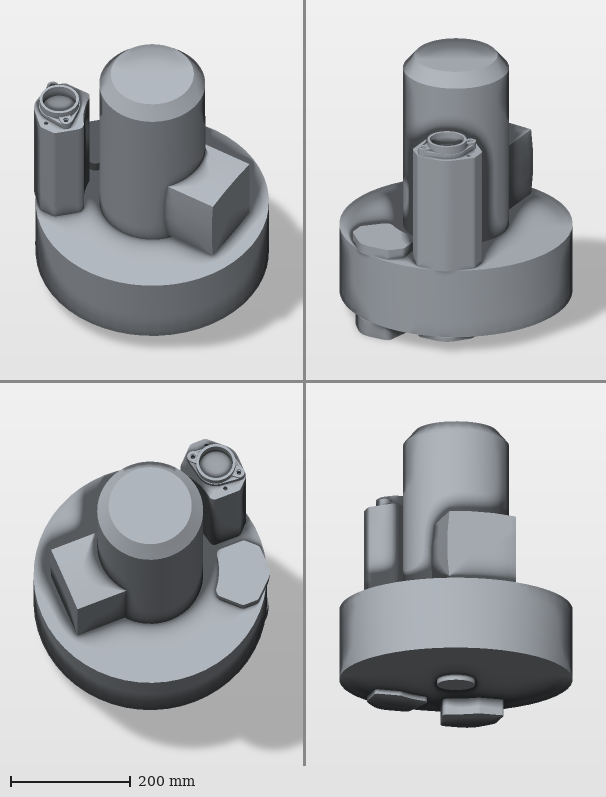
import cadquery as cq
import math


drum_radius = 195.0
drum_height = 121.5
motor_radius = 88.5
motor_top_radius = 69.5
motor_top = 429.0
motor_taper_height = 22.5
hub_radius = 31.5
hub_depth = 9.0

box_end_x = 155.2
box_half_width = 58.0
box_bottom = 128.8
box_top = 245.5
box_side_bulge = 4.0
box_cap_bulge = 3.0

port_left_x = -186.0
port_inner_y = 8.0
port_outer_y = 116.5
port_chamfer = 20.0
port_outer_left_x = -147.5
port_outer_right_x = -120.0
port_shoulder_y = 80.0
port_shoulder_fillet = 34.2
port_tip_angle = 43.7
concave_radius = 115.0
corner_fillet = 9.0
tip_fillet = 13.0
column_top = 323.5
cover_height = 17.0

foot_left_x = -184.5
foot_right_x = -93.0
foot_inner_left_y = 28.0
foot_heel_angle = 5.9
foot_outer_y = 112.5
foot_outer_left_x = -146.0
foot_shoulder_y = 81.5
foot_shoulder_fillet = 39.3
foot_corner_fillet = 10.0
foot_outer_left_fillet = 21.0
foot_outer_right_fillet = 5.0
deep_foot_depth = 27.5
shallow_foot_depth = 7.8

pipe_x = -144.5
pipe_y = -62.0
pipe_radius = 33.0
pipe_bore_radius = 28.5
pipe_height = 21.5
flange_radius = 34.2
flange_thickness = 7.8
web_thickness = 8.5
lug_radius = 9.5
lug_height = 12.5
lug_distance = 41.0
lug_angle = -42.5
screw_radius = 3.5
screw_head_radius = 5.0
screw_head_depth = 2.7
screw_clearance_radius = 8.5
pin_hole_radius = 3.5
pin_hole_distance = 41.5
pin_hole_depth = 9.0


def polar(radius, angle):
    """Point on a circle about the drum axis, angle in degrees from -X towards +Y."""
    return (-radius * math.cos(math.radians(angle)), radius * math.sin(math.radians(angle)))


def angle_at_x(radius, x):
    return math.degrees(math.acos(-x / radius))


def angle_at_y(radius, y):
    return math.degrees(math.asin(y / radius))


def port_prism(convex_corners, tip_angle, heel_angle, fillets, height):
    """Prism on the +Y side: straight sides and a concave arc from tip to heel."""
    middle_angle = (tip_angle + heel_angle) / 2
    prism = (
        cq.Workplane("XY")
        .polyline(convex_corners + [polar(concave_radius, tip_angle)])
        .threePointArc(polar(concave_radius, middle_angle), polar(concave_radius, heel_angle))
        .close()
        .extrude(height)
    )
    for (x, y), radius in fillets:
        corner = cq.selectors.NearestToPointSelector((x, y, height / 2))
        prism = prism.edges("|Z").edges(corner).fillet(radius)
    return prism


def upper_port(height):
    """Column or cover outline, on the +Y side."""
    chamfer_end = (port_left_x + port_chamfer, port_inner_y)
    inner_left = (port_left_x, port_inner_y + port_chamfer)
    shoulder = (port_left_x, port_shoulder_y)
    outer_left = (port_outer_left_x, port_outer_y)
    outer_right = (port_outer_right_x, port_outer_y)
    heel_angle = angle_at_y(concave_radius, port_inner_y)
    fillets = [
        (chamfer_end, corner_fillet),
        (inner_left, corner_fillet),
        (shoulder, port_shoulder_fillet),
        (outer_left, corner_fillet),
        (outer_right, corner_fillet),
        (polar(concave_radius, port_tip_angle), tip_fillet),
        (polar(concave_radius, heel_angle), corner_fillet),
    ]
    convex_corners = [chamfer_end, inner_left, shoulder, outer_left, outer_right]
    return port_prism(convex_corners, port_tip_angle, heel_angle, fillets, height)


def foot(depth):
    """Foot hanging below the drum, on the +Y side."""
    inner_left = (foot_left_x, foot_inner_left_y)
    shoulder = (foot_left_x, foot_shoulder_y)
    outer_left = (foot_outer_left_x, foot_outer_y)
    outer_right = (foot_right_x, foot_outer_y)
    tip_angle = angle_at_x(concave_radius, foot_right_x)
    fillets = [
        (inner_left, foot_corner_fillet),
        (shoulder, foot_shoulder_fillet),
        (outer_left, foot_outer_left_fillet),
        (outer_right, foot_outer_right_fillet),
        (polar(concave_radius, tip_angle), foot_corner_fillet),
        (polar(concave_radius, foot_heel_angle), foot_corner_fillet),
    ]
    convex_corners = [inner_left, shoulder, outer_left, outer_right]
    prism = port_prism(convex_corners, tip_angle, foot_heel_angle, fillets, depth)
    return prism.translate((0, 0, -depth))


def to_minus_y(shape):
    return shape.mirror("XZ")


def cylinder(radius, bottom, height):
    return cq.Workplane("XY").workplane(offset=bottom).circle(radius).extrude(height)


def motor():
    """Motor body with a tapered top edge."""
    taper_start = motor_top - motor_taper_height
    profile = [
        (0, 0),
        (motor_radius, 0),
        (motor_radius, taper_start),
        (motor_top_radius, motor_top),
        (0, motor_top),
    ]
    return (
        cq.Workplane("XZ")
        .polyline(profile)
        .close()
        .revolve(360, (0, 0), (0, 1))
    )


def terminal_box():
    """Box from the motor axis to +X, bulging on its -Y side, top and bottom; the +Y side is flat."""
    middle_z = (box_bottom + box_top) / 2
    return (
        cq.Workplane("YZ")
        .moveTo(box_half_width, box_bottom)
        .lineTo(box_half_width, box_top)
        .threePointArc((0, box_top + box_cap_bulge), (-box_half_width, box_top))
        .threePointArc((-box_half_width - box_side_bulge, middle_z), (-box_half_width, box_bottom))
        .threePointArc((0, box_bottom - box_cap_bulge), (box_half_width, box_bottom))
        .close()
        .extrude(box_end_x)
    )


def flange_web(lug_x):
    """Plate tapering from the flange disc to one lug, along local X."""
    side = math.copysign(1, lug_x)
    cosine = (flange_radius - lug_radius) / lug_distance
    sine = math.sqrt(1 - cosine**2)
    web = [(side * flange_radius * cosine, flange_radius * sine)]
    web.append((lug_x + side * lug_radius * cosine, lug_radius * sine))
    web += [(x, -y) for x, y in reversed(web)]
    return cq.Workplane("XY").polyline(web).close().extrude(web_thickness)


def screw_hole():
    """Counterbored through hole with a wider clearance above the lug."""
    shank = cylinder(screw_radius, 0, lug_height)
    head = cylinder(screw_head_radius, lug_height - screw_head_depth, screw_head_depth)
    clearance = cylinder(screw_clearance_radius, lug_height, pipe_height - lug_height)
    return shank.union(head).union(clearance)


def pipe_flange():
    """Pipe stub with a two-lug flange, its bore closed by the column top."""
    lug_places = (lug_distance, -lug_distance)
    body = cylinder(flange_radius, 0, flange_thickness)
    for lug_x in lug_places:
        lug_end = cylinder(lug_radius, 0, lug_height).translate((lug_x, 0, 0))
        lug_bar = cq.Workplane("XY").rect(lug_distance, 2 * lug_radius).extrude(lug_height)
        lug_bar = lug_bar.translate((lug_x / 2, 0, 0))
        body = body.union(flange_web(lug_x)).union(lug_end).union(lug_bar)
    body = body.union(cylinder(pipe_radius, 0, pipe_height))
    body = body.cut(cylinder(pipe_bore_radius, 0, pipe_height))
    for lug_x in lug_places:
        body = body.cut(screw_hole().translate((lug_x, 0, 0)))
    return body.rotate((0, 0, 0), (0, 0, 1), lug_angle).translate((pipe_x, pipe_y, column_top))


def pin_holes():
    return (
        cq.Workplane("XY")
        .workplane(offset=column_top - pin_hole_depth)
        .pushPoints([(pipe_x, pipe_y + pin_hole_distance), (pipe_x, pipe_y - pin_hole_distance)])
        .circle(pin_hole_radius)
        .extrude(pin_hole_depth)
    )


column = to_minus_y(upper_port(column_top - drum_height)).translate((0, 0, drum_height))
cover = upper_port(cover_height).translate((0, 0, drum_height))

result = (
    cylinder(drum_radius, 0, drum_height)
    .union(motor())
    .union(terminal_box())
    .union(cylinder(hub_radius, -hub_depth, hub_depth))
    .union(foot(deep_foot_depth))
    .union(to_minus_y(foot(shallow_foot_depth)))
    .union(cover)
    .union(column.cut(pin_holes()))
    .union(pipe_flange())
)